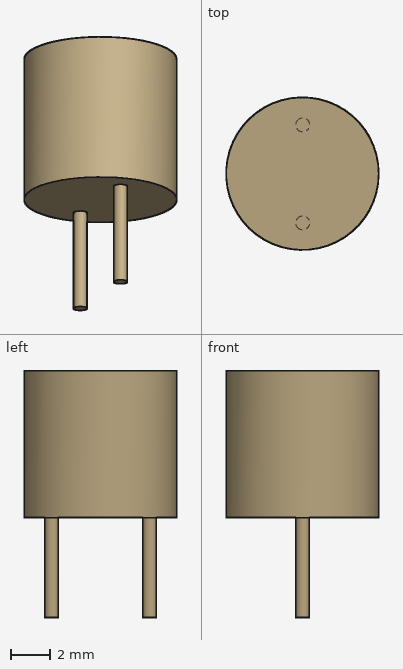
import cadquery as cq

total_height = 12.6
housing_diameter = 7.8
housing_height = 7.5
pin_diameter = 0.7
pin_spacing = 5.0

pin_length = total_height - housing_height


def make_housing():
    """Plain cylinder standing on the plane Z = 0."""
    return cq.Workplane("XY").circle(housing_diameter / 2).extrude(housing_height)


def make_pin(y):
    """Round lead hanging from the underside of the housing at the given Y."""
    return cq.Workplane("XY").center(0, y).circle(pin_diameter / 2).extrude(-pin_length)


housing = make_housing()
pins = [make_pin(side * pin_spacing / 2) for side in (-1, 1)]

result = cq.Compound.makeCompound([housing.val(), *[pin.val() for pin in pins]])